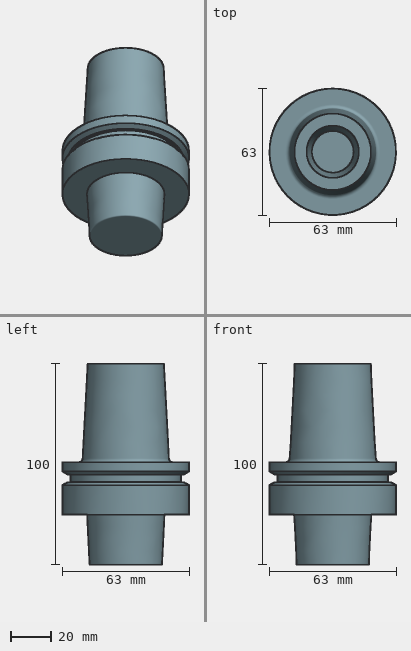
import cadquery as cq
import math

shank_length = 25.0
flange_thickness = 26.0
overall_length = 100.0
flange_top = shank_length + flange_thickness

shank_base_radius = 19.3
shank_taper = 1 / 20
shank_end_radius = shank_base_radius - shank_taper * shank_length
shank_end_fillet = 0.6

flange_radius = 31.5
groove_radius = 27.5
groove_offset = 18.0
groove_center = shank_length + groove_offset
groove_floor_width = 3.75
groove_mouth_width = 6.8
groove_flank_angle = 30.0
groove_flank_height = (groove_mouth_width - groove_floor_width) / 2
groove_shoulder_radius = flange_radius - groove_flank_height / math.tan(math.radians(groove_flank_angle))
groove_corner_radius = 0.2

nose_tip_radius = 19.0
nose_base_radius = 21.5
nose_fillet = 2.0
nose_base = flange_top + nose_fillet

bore_mouth_radius = 13.0
bore_floor_radius = 10.35
bore_depth = 19.0


def make_body():
    """Revolve the outer profile around Z and round the shank end."""
    mouth_low = groove_center - groove_mouth_width / 2
    mouth_high = groove_center + groove_mouth_width / 2
    floor_low = groove_center - groove_floor_width / 2
    floor_high = groove_center + groove_floor_width / 2
    fillet_middle = nose_fillet * (1 - math.sqrt(0.5))
    profile = (
        cq.Workplane("YZ")
        .lineTo(shank_end_radius, 0)
        .lineTo(shank_base_radius, shank_length)
        .lineTo(flange_radius, shank_length)
        .lineTo(flange_radius, mouth_low)
        .lineTo(groove_shoulder_radius, floor_low)
        .lineTo(groove_radius + groove_corner_radius, floor_low)
        .radiusArc((groove_radius, floor_low + groove_corner_radius), -groove_corner_radius)
        .lineTo(groove_radius, floor_high - groove_corner_radius)
        .radiusArc((groove_radius + groove_corner_radius, floor_high), -groove_corner_radius)
        .lineTo(groove_shoulder_radius, floor_high)
        .lineTo(flange_radius, mouth_high)
        .lineTo(flange_radius, flange_top)
        .lineTo(nose_base_radius + nose_fillet, flange_top)
        .threePointArc(
            (nose_base_radius + fillet_middle, flange_top + fillet_middle),
            (nose_base_radius, nose_base),
        )
        .lineTo(nose_tip_radius, overall_length)
        .lineTo(0, overall_length)
        .close()
    )
    body = profile.revolve(360, (0, 0, 0), (0, 1, 0))
    return body.faces("<Z").edges().fillet(shank_end_fillet)


def make_bore():
    """Blind cone that narrows from the nose tip to a flat floor."""
    floor = overall_length - bore_depth
    profile = (
        cq.Workplane("XZ")
        .moveTo(0, floor)
        .lineTo(bore_floor_radius, floor)
        .lineTo(bore_mouth_radius, overall_length)
        .lineTo(0, overall_length)
        .close()
    )
    return profile.revolve(360, (0, 0, 0), (0, 1, 0))


result = make_body().cut(make_bore())